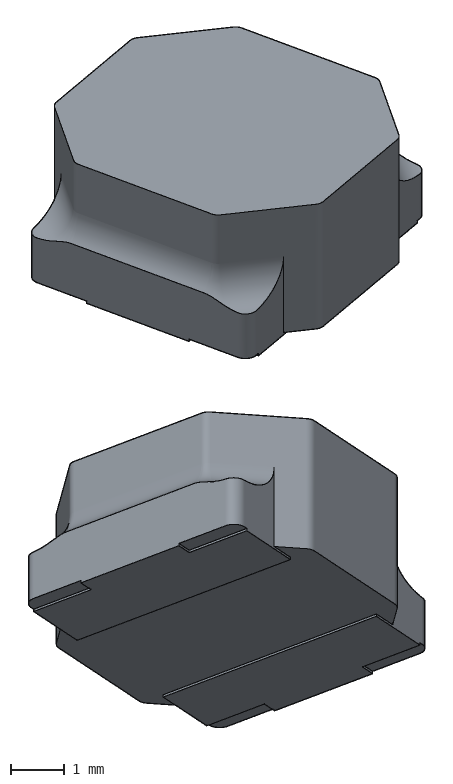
import cadquery as cq

HEIGHT = 2.86
PAD_THICKNESS = 0.05

BODY_LENGTH_X = 6.0
BODY_LENGTH_Y = 5.5
BODY_CHAMFER = 1.415
BODY_EDGE_RADIUS = 0.22

BASE_LENGTH_X = 5.0
BASE_LENGTH_Y = 6.0
BASE_CORNER_RADIUS = 0.25
BASE_TOP_Z = 1.055

COVE_RADIUS = 0.7
COVE_SHELF_MARGIN = 1.5 * COVE_RADIUS
SELECTION_SLACK = 0.05

PAD_INNER_Y = 1.33
PAD_WING_OUTER_Y = 2.68
PAD_TONGUE_WIDTH = 2.3


def octagon(margin, bottom_z, top_z):
    """Octagonal prism, widened by margin on the straight X and Y sides."""
    return (
        cq.Workplane("XY")
        .workplane(offset=bottom_z)
        .rect(BODY_LENGTH_X + 2 * margin, BODY_LENGTH_Y + 2 * margin)
        .extrude(top_z - bottom_z)
        .edges("|Z")
        .chamfer(BODY_CHAMFER)
    )


def make_body():
    """Main octagonal block with softened vertical edges."""
    return octagon(0, PAD_THICKNESS, HEIGHT).edges("|Z").fillet(BODY_EDGE_RADIUS)


def make_base(body):
    """Base plate whose upper side rises to the body in a concave cove."""
    shelf = octagon(COVE_SHELF_MARGIN, PAD_THICKNESS, BASE_TOP_Z)
    flared = shelf.union(body)
    half_x = BODY_LENGTH_X / 2 + SELECTION_SLACK
    half_y = BODY_LENGTH_Y / 2 + SELECTION_SLACK
    inner_edges = cq.selectors.BoxSelector(
        (-half_x, -half_y, BASE_TOP_Z - SELECTION_SLACK),
        (half_x, half_y, BASE_TOP_Z + SELECTION_SLACK),
    )
    flared = flared.edges(inner_edges).fillet(COVE_RADIUS)
    footprint = (
        cq.Workplane("XY")
        .workplane(offset=PAD_THICKNESS)
        .rect(BASE_LENGTH_X, BASE_LENGTH_Y)
        .extrude(HEIGHT - PAD_THICKNESS)
        .edges("|Z")
        .fillet(BASE_CORNER_RADIUS)
    )
    return flared.intersect(footprint)


def make_pad(side):
    """Terminal pad at the +Y (side = 1) or -Y (side = -1) end: full-width wings and a tongue."""
    half_wing = BASE_LENGTH_X / 2
    half_tongue = PAD_TONGUE_WIDTH / 2
    inner_y = side * PAD_INNER_Y
    wing_y = side * PAD_WING_OUTER_Y
    tongue_y = side * BASE_LENGTH_Y / 2
    outline = [
        (-half_wing, inner_y),
        (half_wing, inner_y),
        (half_wing, wing_y),
        (half_tongue, wing_y),
        (half_tongue, tongue_y),
        (-half_tongue, tongue_y),
        (-half_tongue, wing_y),
        (-half_wing, wing_y),
    ]
    return cq.Workplane("XY").polyline(outline).close().extrude(PAD_THICKNESS)


body = make_body()
result = body.union(make_base(body))
for end in (-1, 1):
    result = result.union(make_pad(end))
result = result.clean()